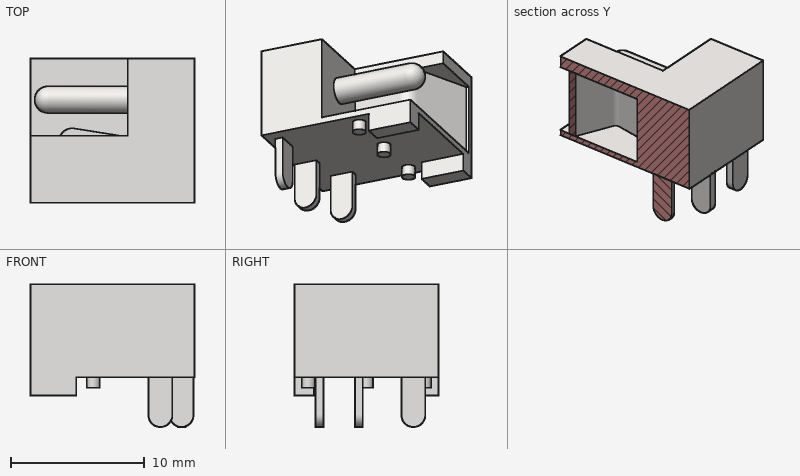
import cadquery as cq
import math


LENGTH = 12.3
WIDTH = 10.8
HEIGHT = 8.35
FOOT_LENGTH = 3.45
FOOT_WIDTH = 1.48
FOOT_HEIGHT = 1.38
FLOOR_THICKNESS = 0.49
ROOF_THICKNESS = 1.0
WALL_THICKNESS = 0.5
SOCKET_DEPTH = 7.31
ROOF_WIDTH = 5.02
FLOOR_TOP = FOOT_HEIGHT + FLOOR_THICKNESS
SOCKET_HEIGHT = HEIGHT - ROOF_THICKNESS - FLOOR_TOP

PEG_DIAMETER = 1.0
PEG_LENGTH = 0.79
PEG_X = 4.71
SIDE_PEG_Y = 1.06
PEG_CENTRES_Y = [SIDE_PEG_Y, WIDTH / 2, WIDTH - SIDE_PEG_Y]

PIN_DIAMETER = 2.0
PIN_TIP_X = 0.32
PIN_Y = 7.71
PIN_Z = 5.38

TOTAL_HEIGHT = 10.7
TERMINAL_WIDTH = 1.8
TERMINAL_THICKNESS = 0.6
TERMINAL_LENGTH = TOTAL_HEIGHT - HEIGHT + FOOT_HEIGHT
FRONT_TERMINAL_X = 9.73
REAR_TERMINAL_X = 11.32
OUTER_TERMINAL_Y = 1.88
INNER_TERMINAL_Y = 4.83
CROSS_TERMINAL_Y = 8.9
TERMINAL_PLACES = [
    (FRONT_TERMINAL_X, OUTER_TERMINAL_Y, 0),
    (REAR_TERMINAL_X, INNER_TERMINAL_Y, 0),
    (REAR_TERMINAL_X, CROSS_TERMINAL_Y, 90),
]

SPRING_THICKNESS = 0.6
CREST_RADIUS = 1.0
CREST_X = 3.14
CREST_Y = ROOF_WIDTH + 0.55
RAMP_ANGLE = math.radians(65.5)
TAIL_ANGLE = math.radians(9.0)


def make_housing():
    body = cq.Workplane("XY").box(LENGTH, WIDTH, HEIGHT - FOOT_HEIGHT, centered=False)
    body = body.translate((0, 0, FOOT_HEIGHT))
    for foot_y in (0, WIDTH - FOOT_WIDTH):
        foot = cq.Workplane("XY").box(FOOT_LENGTH, FOOT_WIDTH, FOOT_HEIGHT, centered=False)
        body = body.union(foot.translate((0, foot_y, 0)))

    open_corner = cq.Workplane("XY").box(
        SOCKET_DEPTH, WIDTH - ROOF_WIDTH, HEIGHT - FLOOR_TOP, centered=False
    )
    body = body.cut(open_corner.translate((0, ROOF_WIDTH, FLOOR_TOP)))

    covered_socket = cq.Workplane("XY").box(
        SOCKET_DEPTH, ROOF_WIDTH - WALL_THICKNESS, SOCKET_HEIGHT, centered=False
    )
    body = body.cut(covered_socket.translate((0, WALL_THICKNESS, FLOOR_TOP)))

    pegs = (
        cq.Workplane("XY", origin=(0, 0, FOOT_HEIGHT))
        .pushPoints([(PEG_X, peg_y) for peg_y in PEG_CENTRES_Y])
        .circle(PEG_DIAMETER / 2)
        .extrude(-PEG_LENGTH)
    )
    return body.union(pegs)


def make_centre_pin():
    radius = PIN_DIAMETER / 2
    arc_offset = radius * math.sqrt(0.5)
    half_profile = (
        cq.Workplane("XY")
        .moveTo(PIN_TIP_X, 0)
        .threePointArc((PIN_TIP_X + radius - arc_offset, arc_offset), (PIN_TIP_X + radius, radius))
        .lineTo(SOCKET_DEPTH, radius)
        .lineTo(SOCKET_DEPTH, 0)
        .close()
    )
    pin = half_profile.revolve(360, (0, 0, 0), (1, 0, 0))
    return pin.translate((0, PIN_Y, PIN_Z))


def make_spring():
    centre_y = CREST_Y - CREST_RADIUS

    def ramp_point(radius):
        return (CREST_X - radius * math.sin(RAMP_ANGLE), centre_y + radius * math.cos(RAMP_ANGLE))

    def tail_point(radius):
        return (CREST_X + radius * math.sin(TAIL_ANGLE), centre_y + radius * math.cos(TAIL_ANGLE))

    def wall_end(radius):
        x, y = ramp_point(radius)
        return (x - (y - WALL_THICKNESS) / math.tan(RAMP_ANGLE), WALL_THICKNESS)

    def rear_end(radius):
        x, y = tail_point(radius)
        return (SOCKET_DEPTH, y - (SOCKET_DEPTH - x) * math.tan(TAIL_ANGLE))

    inner_radius = CREST_RADIUS - SPRING_THICKNESS
    return (
        cq.Workplane("XY", origin=(0, 0, FLOOR_TOP))
        .moveTo(*wall_end(CREST_RADIUS))
        .lineTo(*ramp_point(CREST_RADIUS))
        .threePointArc((CREST_X, CREST_Y), tail_point(CREST_RADIUS))
        .lineTo(*rear_end(CREST_RADIUS))
        .lineTo(*rear_end(inner_radius))
        .lineTo(*tail_point(inner_radius))
        .threePointArc((CREST_X, centre_y + inner_radius), ramp_point(inner_radius))
        .lineTo(*wall_end(inner_radius))
        .close()
        .extrude(SOCKET_HEIGHT)
    )


def make_terminal(x, y, rotation):
    half_width = TERMINAL_WIDTH / 2
    straight_length = TERMINAL_LENGTH - half_width
    blade = (
        cq.Workplane("XZ")
        .moveTo(-half_width, 0)
        .lineTo(-half_width, -straight_length)
        .threePointArc((0, -TERMINAL_LENGTH), (half_width, -straight_length))
        .lineTo(half_width, 0)
        .close()
        .extrude(TERMINAL_THICKNESS / 2, both=True)
    )
    blade = blade.rotate((0, 0, 0), (0, 0, 1), rotation)
    return blade.translate((x, y, FOOT_HEIGHT))


housing = make_housing()
centre_pin = make_centre_pin()
spring = make_spring()
terminals = [make_terminal(*place) for place in TERMINAL_PLACES]

result = cq.Compound.makeCompound(
    [housing.val(), centre_pin.val(), spring.val(), *[terminal.val() for terminal in terminals]]
)